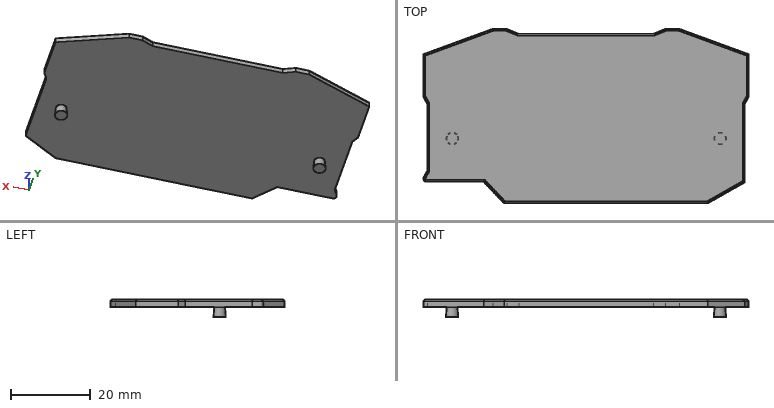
import cadquery as cq
import math

plate_length = 81.5
plate_width = 43.7
plate_thickness = 2.0
top_chamfer = 0.5

shoulder_outer_x = 23.4
shoulder_inner_x = 19.9
recess_half_length = 16.9
recess_depth = 1.2
rear_corner_y = 15.5

waist_depth = 1.0
ramp_angle = 30
ear_end_y = 4.8

ledge_y = -16.5
ledge_end_x = -25.6
tongue_left_x = -20.5
tongue_right_x = 30.5
right_corner_y = -16.6
toe_radius = 0.85

pin_length = 2.5
pin_root_diameter = 2.75
pin_tip_diameter = 3.1
pin_tip_length = 0.5
pin_spacing = 67.1
pin_y = -5.55

half_length = plate_length / 2
half_width = plate_width / 2
waist_x = half_length - waist_depth
waist_start_y = ear_end_y - waist_depth / math.tan(math.radians(ramp_angle))
recess_y = half_width - recess_depth

toe_center_x = -half_length + toe_radius
toe_center_y = ledge_y + toe_radius
toe_flank_x = toe_center_x - toe_radius * math.cos(math.radians(ramp_angle))
toe_flank_y = toe_center_y + toe_radius * math.sin(math.radians(ramp_angle))
flank_run = -waist_x - toe_flank_x
left_waist_end_y = toe_flank_y + flank_run / math.tan(math.radians(ramp_angle))


def make_plate():
    """Flat plate with the notched outline and a chamfered top rim."""
    outline = (
        cq.Workplane("XY")
        .moveTo(toe_center_x, ledge_y)
        .lineTo(ledge_end_x, ledge_y)
        .lineTo(tongue_left_x, -half_width)
        .lineTo(tongue_right_x, -half_width)
        .lineTo(waist_x, right_corner_y)
        .lineTo(waist_x, waist_start_y)
        .lineTo(half_length, ear_end_y)
        .lineTo(half_length, rear_corner_y)
        .lineTo(shoulder_outer_x, half_width)
        .lineTo(shoulder_inner_x, half_width)
        .lineTo(recess_half_length, recess_y)
        .lineTo(-recess_half_length, recess_y)
        .lineTo(-shoulder_inner_x, half_width)
        .lineTo(-shoulder_outer_x, half_width)
        .lineTo(-half_length, rear_corner_y)
        .lineTo(-half_length, ear_end_y)
        .lineTo(-waist_x, waist_start_y)
        .lineTo(-waist_x, left_waist_end_y)
        .lineTo(toe_flank_x, toe_flank_y)
        .threePointArc((-half_length, toe_center_y), (toe_center_x, ledge_y))
        .close()
    )
    return outline.extrude(plate_thickness).faces(">Z").edges().chamfer(top_chamfer)


def make_pin(x):
    """Pin that widens slightly from the plate down to a short cylindrical tip."""
    taper_end_z = pin_tip_length - pin_length
    profile = (
        cq.Workplane("YZ")
        .lineTo(-pin_root_diameter / 2, 0)
        .lineTo(-pin_tip_diameter / 2, taper_end_z)
        .lineTo(-pin_tip_diameter / 2, -pin_length)
        .lineTo(0, -pin_length)
        .close()
    )
    return profile.revolve(360, (0, 0, 0), (0, 1, 0)).translate((x, pin_y, 0))


result = make_plate()
for side in (-1, 1):
    result = result.union(make_pin(side * pin_spacing / 2))